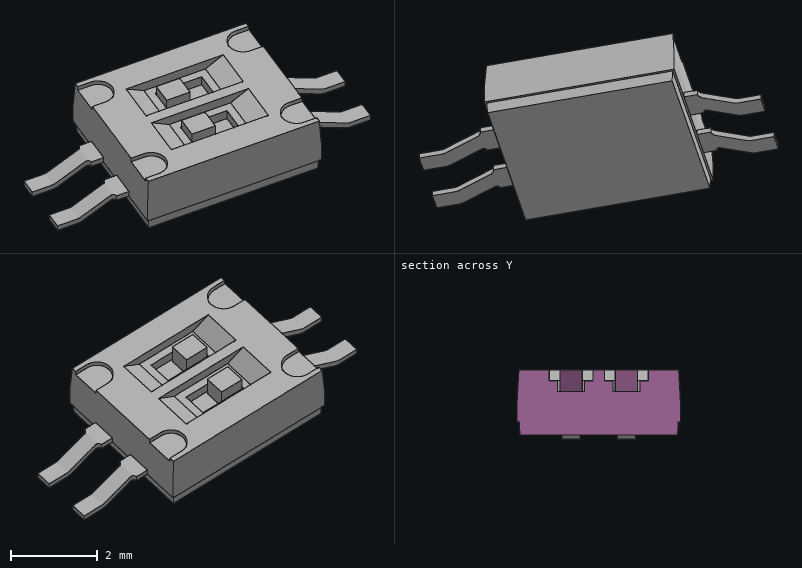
import cadquery as cq
import math


body_width = 3.77
body_length = 4.5
standoff = 0.1
shoulder_z = 0.4
draft_start_z = 0.88
top_z = 1.6
plinth_inset = 0.05
plinth_taper = 0.02
cover_taper = 0.04

recess_x = 1.345
recess_y = 1.88
recess_floor_radius = 0.36
recess_top_radius = 0.37
recess_depth = 0.1

pitch = 1.27
position_xs = [-pitch / 2, pitch / 2]

window_width = 1.005
window_length = 2.51
window_floor_length = 1.59
window_depth = 0.25
slot_width = 0.615
slot_length = 1.2
slot_depth = 0.25
slot_floor_z = top_z - window_depth - slot_depth

actuator_width = 0.52
actuator_length = 0.61

lead_thickness = 0.145
lead_root_width = 0.615
lead_width = 0.42
lead_tip_y = 4.05
foot_start_y = 3.52
bend_start_y = 2.575
upper_bend_inner_radius = 0.08
lower_bend_inner_radius = 0.16


def tapered_block(bottom_inset, bottom_z, top_inset, block_top_z):
    """Rectangular block whose insets from the housing outline differ at its two ends."""
    return (
        cq.Workplane("XY", origin=(0, 0, bottom_z))
        .rect(body_width - 2 * bottom_inset, body_length - 2 * bottom_inset)
        .workplane(offset=block_top_z - bottom_z)
        .rect(body_width - 2 * top_inset, body_length - 2 * top_inset)
        .loft(ruled=True)
    )


def u_outline(workplane, radius):
    """U-shaped outline around the origin, running in +Y past the end face of the housing."""
    open_end = body_length - recess_y
    return (
        workplane.moveTo(-radius, open_end)
        .lineTo(-radius, 0)
        .threePointArc((0, -radius), (radius, 0))
        .lineTo(radius, open_end)
        .close()
    )


def make_corner_recess():
    """Cutter for the recess at the +X, +Y corner, with slightly flared walls."""
    floor = cq.Workplane("XY", origin=(recess_x, recess_y, top_z - recess_depth))
    flared = u_outline(floor, recess_floor_radius).workplane(offset=recess_depth)
    return u_outline(flared, recess_top_radius).loft(ruled=True)


def make_switch_opening(x):
    """Cutter for one window with sloped ends and the slot in its floor."""
    floor_z = top_z - window_depth
    window = (
        cq.Workplane("YZ", origin=(x - window_width / 2, 0, 0))
        .polyline([
            (-window_floor_length / 2, floor_z),
            (window_floor_length / 2, floor_z),
            (window_length / 2, top_z),
            (-window_length / 2, top_z),
        ])
        .close()
        .extrude(window_width)
    )
    slot = (
        cq.Workplane("XY", origin=(x, 0, slot_floor_z))
        .rect(slot_width, slot_length)
        .extrude(top_z - slot_floor_z)
    )
    return window.union(slot)


def make_housing():
    plinth = tapered_block(plinth_inset + plinth_taper, standoff, plinth_inset, shoulder_z)
    band = tapered_block(0, shoulder_z, 0, draft_start_z)
    cover = tapered_block(0, draft_start_z, cover_taper, top_z)
    housing = plinth.union(band).union(cover)

    recess = make_corner_recess()
    end_recesses = recess.union(recess.mirror("YZ"))
    housing = housing.cut(end_recesses).cut(end_recesses.mirror("XZ"))

    for x in position_xs:
        housing = housing.cut(make_switch_opening(x))
    return housing


def make_actuator(x):
    """Block standing on the slot floor against the slot's -Y end, flush with the top face."""
    return (
        cq.Workplane("XY", origin=(x, (actuator_length - slot_length) / 2, slot_floor_z))
        .rect(actuator_width, actuator_length)
        .extrude(top_z - slot_floor_z)
    )


def make_lead_profile():
    """Side profile of the +Y lead, extruded over the root width and centred on X = 0."""
    root_y = body_length / 2
    root_top_z = shoulder_z + lead_thickness
    upper_outer_radius = upper_bend_inner_radius + lead_thickness
    lower_outer_radius = lower_bend_inner_radius + lead_thickness

    upper_centre_z = shoulder_z - upper_bend_inner_radius
    lower_centre_z = lower_outer_radius
    run = foot_start_y - bend_start_y
    rise = lower_centre_z - upper_centre_z
    radius_sum = upper_outer_radius + lower_bend_inner_radius
    slope = math.asin(radius_sum / math.hypot(run, rise)) - math.atan2(rise, run)

    def on_upper_bend(radius, angle):
        return (bend_start_y + radius * math.sin(angle), upper_centre_z + radius * math.cos(angle))

    def on_lower_bend(radius, angle):
        return (foot_start_y - radius * math.sin(angle), lower_centre_z - radius * math.cos(angle))

    return (
        cq.Workplane("YZ", origin=(-lead_root_width / 2, 0, 0))
        .moveTo(root_y, root_top_z)
        .lineTo(bend_start_y, root_top_z)
        .threePointArc(
            on_upper_bend(upper_outer_radius, slope / 2),
            on_upper_bend(upper_outer_radius, slope),
        )
        .lineTo(*on_lower_bend(lower_bend_inner_radius, slope))
        .threePointArc(on_lower_bend(lower_bend_inner_radius, slope / 2), (foot_start_y, lead_thickness))
        .lineTo(lead_tip_y, lead_thickness)
        .lineTo(lead_tip_y, 0)
        .lineTo(foot_start_y, 0)
        .threePointArc(
            on_lower_bend(lower_outer_radius, slope / 2),
            on_lower_bend(lower_outer_radius, slope),
        )
        .lineTo(*on_upper_bend(upper_bend_inner_radius, slope))
        .threePointArc(on_upper_bend(upper_bend_inner_radius, slope / 2), (bend_start_y, shoulder_z))
        .lineTo(root_y, shoulder_z)
        .close()
        .extrude(lead_root_width)
    )


def make_lead_plan():
    """Plan outline of the +Y lead: a wide root that narrows through two concave quarter rounds."""
    half_root = lead_root_width / 2
    half_width = lead_width / 2
    round_radius = half_root - half_width
    round_end_y = bend_start_y + round_radius
    round_middle_x = half_root - round_radius * math.sin(math.pi / 4)
    round_middle_y = round_end_y - round_radius * math.sin(math.pi / 4)
    return (
        cq.Workplane("XY")
        .moveTo(-half_root, 0)
        .lineTo(half_root, 0)
        .lineTo(half_root, bend_start_y)
        .threePointArc((round_middle_x, round_middle_y), (half_width, round_end_y))
        .lineTo(half_width, lead_tip_y)
        .lineTo(-half_width, lead_tip_y)
        .lineTo(-half_width, round_end_y)
        .threePointArc((-round_middle_x, round_middle_y), (-half_root, bend_start_y))
        .close()
        .extrude(top_z)
    )


def make_lead(x, turn):
    """One lead, butting against the straight band of the housing; turn is 0 for +Y, 180 for -Y."""
    lead = make_lead_profile().intersect(make_lead_plan())
    return lead.rotate((0, 0, 0), (0, 0, 1), turn).translate((x, 0, 0))


housing = make_housing()
actuators = [make_actuator(x) for x in position_xs]
leads = [make_lead(x, turn) for x in position_xs for turn in (0, 180)]

result = cq.Compound.makeCompound([
    housing.val(),
    *[actuator.val() for actuator in actuators],
    *[lead.val() for lead in leads],
])